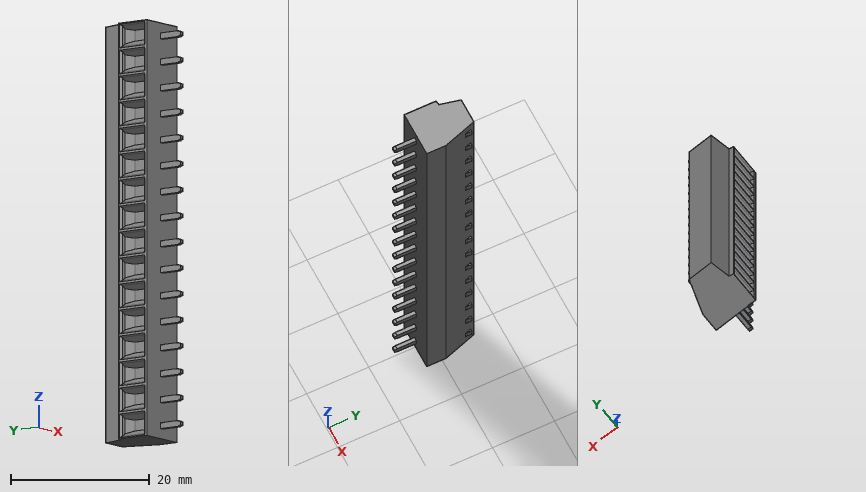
import cadquery as cq


LENGTH = 60.95
POLE_COUNT = 16
PITCH = LENGTH / POLE_COUNT
WIDTH = 7.3
TOTAL_HEIGHT = 12.0
PIN_LENGTH = 3.55
HOUSING_HEIGHT = TOTAL_HEIGHT - PIN_LENGTH
STEP_HEIGHT = 5.1
STEP_RISE = 0.1
STEP_DEPTH = 0.75
TOP_START = 1.45
TOP_END = 5.55
SHOULDER_HEIGHT = 3.1

FUNNEL_DEPTH = 1.1
MOUTH_BOTTOM = 0.35
MOUTH_TOP = 4.95
MOUTH_SPAN = 3.5
FLOOR_SPAN = 1.6
FLOOR_BOTTOM = 1.15
FLOOR_TOP = 2.9
LIP_DEPTH = 0.25
LIP_HEIGHT = 4.6
LIP_SPAN = 3.05
RAMP_DEPTH = 0.75
RAMP_HEIGHT = 4.45

PIN_WIDTH = 0.6
PIN_SPAN = 0.85
PIN_TIP_LENGTH = 0.4
PIN_TIP_INSET = 0.2

MARK_FACE = 6.1
MARK_BOTTOM = 6.7
MARK_TOP = 7.85
MARK_SPAN = 0.9


def prism_z(points, span):
    """Extrude an XY outline to the given span, centred on Z = 0."""
    return cq.Workplane("XY").polyline(points).close().extrude(span / 2, both=True)


def make_housing():
    """Solid body with a ledge on one long side and two leaning faces above."""
    return prism_z(
        [
            (0, 0),
            (WIDTH, 0),
            (WIDTH, SHOULDER_HEIGHT),
            (TOP_END, HOUSING_HEIGHT),
            (TOP_START, HOUSING_HEIGHT),
            (STEP_DEPTH, STEP_HEIGHT + STEP_RISE),
            (0, STEP_HEIGHT),
        ],
        LENGTH,
    )


def make_funnel():
    """Tapered pocket: its XY section limited by a tapered section in XZ."""
    section = prism_z(
        [
            (0, MOUTH_BOTTOM),
            (FUNNEL_DEPTH, FLOOR_BOTTOM),
            (FUNNEL_DEPTH, FLOOR_TOP),
            (RAMP_DEPTH, RAMP_HEIGHT),
            (LIP_DEPTH, LIP_HEIGHT),
            (0, MOUTH_TOP),
        ],
        MOUTH_SPAN,
    )
    taper = (
        cq.Workplane("XZ")
        .polyline(
            [
                (0, -MOUTH_SPAN / 2),
                (LIP_DEPTH, -LIP_SPAN / 2),
                (FUNNEL_DEPTH, -FLOOR_SPAN / 2),
                (FUNNEL_DEPTH, FLOOR_SPAN / 2),
                (LIP_DEPTH, LIP_SPAN / 2),
                (0, MOUTH_SPAN / 2),
            ]
        )
        .close()
        .extrude(-HOUSING_HEIGHT)
    )
    return section.intersect(taper)


def make_pin():
    """Flat pin below the housing, narrowed along Z at its tip."""
    half = PIN_SPAN / 2
    tip_half = half - PIN_TIP_INSET
    tip_start = PIN_TIP_LENGTH - PIN_LENGTH
    return (
        cq.Workplane("YZ", origin=(WIDTH / 2, 0, 0))
        .polyline(
            [
                (0, -half),
                (tip_start, -half),
                (-PIN_LENGTH, -tip_half),
                (-PIN_LENGTH, tip_half),
                (tip_start, half),
                (0, half),
            ]
        )
        .close()
        .extrude(PIN_WIDTH / 2, both=True)
    )


def make_mark():
    """Small wedge standing on the leaning side, rooted inside the housing."""
    return prism_z(
        [
            (TOP_END, MARK_BOTTOM),
            (MARK_FACE, MARK_BOTTOM),
            (MARK_FACE, MARK_TOP),
            (TOP_END, MARK_TOP),
        ],
        MARK_SPAN,
    )


pole_points = [(0, 0, (i - (POLE_COUNT - 1) / 2) * PITCH) for i in range(POLE_COUNT)]


def at_poles(shape):
    """Repeat a shape at every pole along the housing."""
    poles = cq.Workplane("XY").pushPoints(pole_points)
    return poles.eachpoint(lambda place: shape.val().moved(place), combine=False)


result = (
    make_housing()
    .cut(at_poles(make_funnel()))
    .union(at_poles(make_pin()))
    .union(at_poles(make_mark()))
)